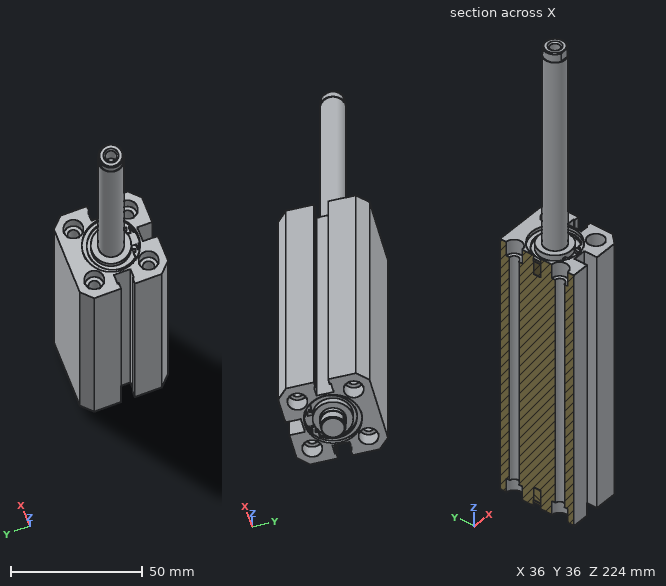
import cadquery as cq
import math

total_length = 224.0
rod_overhang = 6.0
tube_length = 122.0
rod_bottom = -rod_overhang
rod_top = total_length - rod_overhang

tube_width = 36.0
corner_chamfer = 4.3
slot_floor_offset = 11.9
front_slot_width = 6.0
side_slot_width = 6.7
side_slot_mouth_width = 5.5
side_slot_lip = 2.5

mount_pitch = 22.2
mount_hole_diameter = 4.5
mount_counterbore_diameter = 7.6
mount_counterbore_depth = 6.7

recess_diameter = 22.2
recess_depth = 9.0
cover_boss_diameter = 15.5
ring_depth = 1.5
ring_thickness = 1.1
ring_opening_diameter = 19.7
ring_opening_shift = 0.7
ring_gap_width = 5.4
ear_inner_offset = 7.2
ear_outer_offset = 9.2
ear_hole_diameter = 1.3
ear_hole_x = 4.7
ear_hole_y = 7.6

rod_diameter = 10.0
rod_radius = rod_diameter / 2
rod_end_diameter = 9.6
rod_end_radius = rod_end_diameter / 2
rod_end_length = 4.3
rod_flats_width = 9.0
rod_end_chamfer = 0.5
thread_hole_radius = 2.2
thread_countersink_radius = 3.0
thread_hole_depth = 9.0
drill_tip_angle = 118.0


def cylinder(diameter, bottom, top):
    return cq.Workplane("XY", origin=(0, 0, bottom)).circle(diameter / 2).extrude(top - bottom)


def block(x_min, x_max, y_min, y_max, bottom, top):
    size = (x_max - x_min, y_max - y_min, top - bottom)
    return cq.Workplane("XY").box(*size, centered=False).translate((x_min, y_min, bottom))


def at_far_end(body):
    """Copy an end-face part to the opposite end of the tube."""
    return body.mirror("XY", (0, 0, tube_length / 2))


def make_side_slot():
    """T-slot on the +X side: a wide channel behind a narrower mouth."""
    outer = tube_width / 2
    lip_inside = outer - side_slot_lip
    half_slot = side_slot_width / 2
    half_mouth = side_slot_mouth_width / 2
    undercut = block(slot_floor_offset, lip_inside, -half_slot, half_slot, 0, tube_length)
    mouth = block(lip_inside, outer, -half_mouth, half_mouth, 0, tube_length)
    return undercut.union(mouth)


def make_tube():
    """Slotted square tube with mounting holes and a cover recess at each end."""
    tube = cq.Workplane("XY").rect(tube_width, tube_width).extrude(tube_length)
    tube = tube.edges("|Z").chamfer(corner_chamfer)

    half_slot = front_slot_width / 2
    tube = tube.cut(block(-half_slot, half_slot, -tube_width / 2, -slot_floor_offset, 0, tube_length))
    side_slot = make_side_slot()
    tube = tube.cut(side_slot).cut(side_slot.mirror("YZ"))

    mounts = cq.Workplane("XY").rect(mount_pitch, mount_pitch, forConstruction=True).vertices()
    tube = tube.cut(mounts.circle(mount_hole_diameter / 2).extrude(tube_length))
    counterbores = mounts.circle(mount_counterbore_diameter / 2).extrude(mount_counterbore_depth)
    tube = tube.cut(counterbores).cut(at_far_end(counterbores))

    recess = cylinder(recess_diameter, tube_length - recess_depth, tube_length)
    tube = tube.cut(recess).cut(at_far_end(recess))
    return tube.cut(cylinder(rod_diameter, 0, tube_length))


def make_cover():
    """Upper end cover: a flange under the ring and a boss flush with the tube end."""
    ring_bottom = tube_length - ring_depth - ring_thickness
    flange = cylinder(recess_diameter, tube_length - recess_depth, ring_bottom)
    boss = cylinder(cover_boss_diameter, ring_bottom, tube_length)
    return flange.union(boss).cut(cylinder(rod_diameter, 0, tube_length))


def make_ring():
    """Upper retaining ring, open toward -Y with an eared end on each side of its gap."""
    top = tube_length - ring_depth
    bottom = top - ring_thickness
    outside = cylinder(recess_diameter, bottom, top)
    opening = cylinder(ring_opening_diameter, bottom, top).translate((0, -ring_opening_shift, 0))
    half_gap = ring_gap_width / 2
    ear = block(half_gap, recess_diameter / 2, -ear_outer_offset, -ear_inner_offset, bottom, top)
    ears = ear.union(ear.mirror("YZ")).intersect(outside).cut(cylinder(cover_boss_diameter, bottom, top))
    gap = block(-half_gap, half_gap, -recess_diameter / 2, 0, bottom, top)
    hole = cylinder(ear_hole_diameter, bottom, top).translate((ear_hole_x, -ear_hole_y, 0))
    return outside.cut(opening).cut(gap).union(ears).cut(hole).cut(hole.mirror("YZ"))


def revolve_profile(points):
    """Revolve (radius, height) points about the Z axis."""
    return cq.Workplane("YZ").polyline([(-radius, z) for radius, z in points]).close().revolve(
        360, (0, 0), (0, 1))


def make_thread_hole():
    """Countersunk blind hole with a drill tip in the rod's upper end."""
    cylinder_bottom = rod_top - thread_hole_depth
    tip_length = thread_hole_radius / math.tan(math.radians(drill_tip_angle / 2))
    return revolve_profile([
        (0, rod_top),
        (thread_countersink_radius, rod_top),
        (thread_hole_radius, rod_top - (thread_countersink_radius - thread_hole_radius)),
        (thread_hole_radius, cylinder_bottom),
        (0, cylinder_bottom - tip_length),
    ])


def make_rod_flats():
    """Waste outside the two flats, at both rod ends."""
    half = rod_flats_width / 2
    side = block(-rod_radius, rod_radius, half, rod_diameter, rod_top - rod_end_length, rod_top)
    upper = side.union(side.mirror("XZ"))
    return upper.union(upper.mirror("XY", (0, 0, (rod_top + rod_bottom) / 2)))


def make_rod():
    """Through rod with a stepped, chamfered and flatted end at both ends."""
    profile = [
        (0, rod_bottom),
        (rod_end_radius - rod_end_chamfer, rod_bottom),
        (rod_end_radius, rod_bottom + rod_end_chamfer),
        (rod_end_radius, rod_bottom + rod_end_length),
        (rod_radius, rod_bottom + rod_end_length),
        (rod_radius, rod_top - rod_end_length),
        (rod_end_radius, rod_top - rod_end_length),
        (rod_end_radius, rod_top - rod_end_chamfer),
        (rod_end_radius - rod_end_chamfer, rod_top),
        (0, rod_top),
    ]
    return revolve_profile(profile).cut(make_thread_hole()).cut(make_rod_flats())


tube = make_tube()
rod = make_rod()
upper_cover = make_cover()
upper_ring = make_ring()
covers = [upper_cover, at_far_end(upper_cover)]
rings = [upper_ring, at_far_end(upper_ring)]
result = cq.Compound.makeCompound([body.val() for body in [tube, rod, *covers, *rings]])